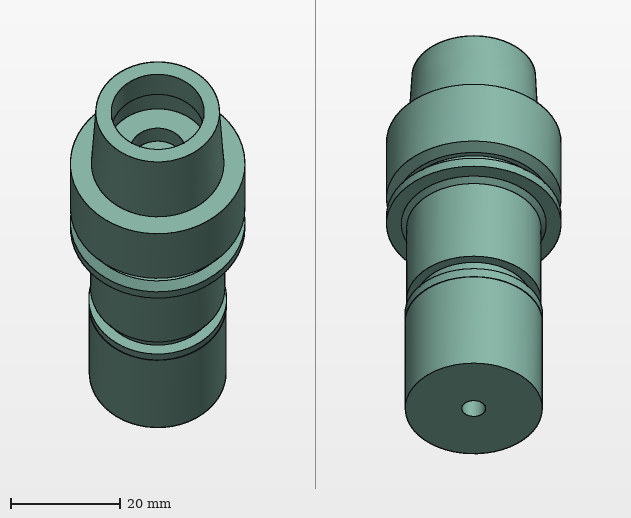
import cadquery as cq

TOTAL_HEIGHT = 81.0
TAPER_LENGTH = 15.95
COLLAR_LENGTH = 13.85
COLLAR_CHAMFER_HEIGHT = 1.2
GROOVE_WIDTH = 2.0
RIM_CHAMFER_HEIGHT = 1.0
RIM_THICKNESS = 1.95
NECKING_HEIGHT = 1.0
SHANK_LENGTH = 17.7
RING_TOP = 23.0
RING_THICKNESS = 1.95

COLLAR_RADIUS = 32.0 / 2
TAPER_TOP_RADIUS = 11.3
TAPER_BASE_RADIUS = 12.15
GROOVE_RADIUS = 13.3
GROOVE_FLANK_DEPTH = 1.8
SHANK_RADIUS = 12.3
NECKING_TOP_RADIUS = SHANK_RADIUS + NECKING_HEIGHT
NECK_RADIUS = 10.6
RING_RADIUS = 12.6
NUT_RADIUS = 12.55

MOUTH_RADIUS = 8.5
MOUTH_DEPTH = 6.2
UNDERCUT_RADIUS = 9.5
CAVITY_DEPTH = 12.1
STEP_RADIUS = 5.1
STEP_DEPTH = 4.05
HOLE_RADIUS = 2.2

TAPER_BASE = TOTAL_HEIGHT - TAPER_LENGTH
COLLAR_BOTTOM = TAPER_BASE - COLLAR_LENGTH
GROOVE_TOP = COLLAR_BOTTOM - COLLAR_CHAMFER_HEIGHT
GROOVE_BOTTOM = GROOVE_TOP - GROOVE_WIDTH
RIM_TOP = GROOVE_BOTTOM - RIM_CHAMFER_HEIGHT
RIM_BOTTOM = RIM_TOP - RIM_THICKNESS
SHANK_TOP = RIM_BOTTOM - NECKING_HEIGHT
SHANK_BOTTOM = SHANK_TOP - SHANK_LENGTH
RING_BOTTOM = RING_TOP - RING_THICKNESS


def disc(radius, bottom, top):
    """Solid cylinder on the Z axis between two heights."""
    return cq.Workplane("XY").workplane(offset=bottom).circle(radius).extrude(top - bottom)


def tube(radius, bottom, top):
    """Cylinder on the Z axis with the central through hole."""
    return disc(radius, bottom, top).cut(disc(HOLE_RADIUS, bottom, top))


def make_holder_blank():
    """Turned outside of the holder, from the taper down to the neck."""
    flank_radius = COLLAR_RADIUS - GROOVE_FLANK_DEPTH
    outline = [
        (0, TOTAL_HEIGHT),
        (TAPER_TOP_RADIUS, TOTAL_HEIGHT),
        (TAPER_BASE_RADIUS, TAPER_BASE),
        (COLLAR_RADIUS, TAPER_BASE),
        (COLLAR_RADIUS, COLLAR_BOTTOM),
        (flank_radius, GROOVE_TOP),
        (GROOVE_RADIUS, GROOVE_TOP),
        (GROOVE_RADIUS, GROOVE_BOTTOM),
        (flank_radius, GROOVE_BOTTOM),
        (COLLAR_RADIUS, RIM_TOP),
        (COLLAR_RADIUS, RIM_BOTTOM),
        (NECKING_TOP_RADIUS, RIM_BOTTOM),
        (SHANK_RADIUS, SHANK_TOP),
        (SHANK_RADIUS, SHANK_BOTTOM),
        (NECK_RADIUS, SHANK_BOTTOM),
        (NECK_RADIUS, RING_TOP),
        (0, RING_TOP),
    ]
    return cq.Workplane("XZ").polyline(outline).close().revolve(360, (0, 0), (0, 1))


def make_holder():
    """Holder with an undercut clamping cavity, a step and a through hole."""
    mouth_bottom = TOTAL_HEIGHT - MOUTH_DEPTH
    cavity_floor = TOTAL_HEIGHT - CAVITY_DEPTH
    step_floor = cavity_floor - STEP_DEPTH
    return (
        make_holder_blank()
        .cut(disc(MOUTH_RADIUS, mouth_bottom, TOTAL_HEIGHT))
        .cut(disc(UNDERCUT_RADIUS, cavity_floor, mouth_bottom))
        .cut(disc(STEP_RADIUS, step_floor, cavity_floor))
        .cut(disc(HOLE_RADIUS, RING_TOP, step_floor))
    )


def make_ring():
    """Flat ring between the holder's neck and the nut."""
    return tube(RING_RADIUS, RING_BOTTOM, RING_TOP)


def make_nut():
    """Plain round nut at the lower end."""
    return tube(NUT_RADIUS, 0, RING_BOTTOM)


holder = make_holder()
ring = make_ring()
nut = make_nut()

result = cq.Compound.makeCompound([holder.val(), ring.val(), nut.val()])